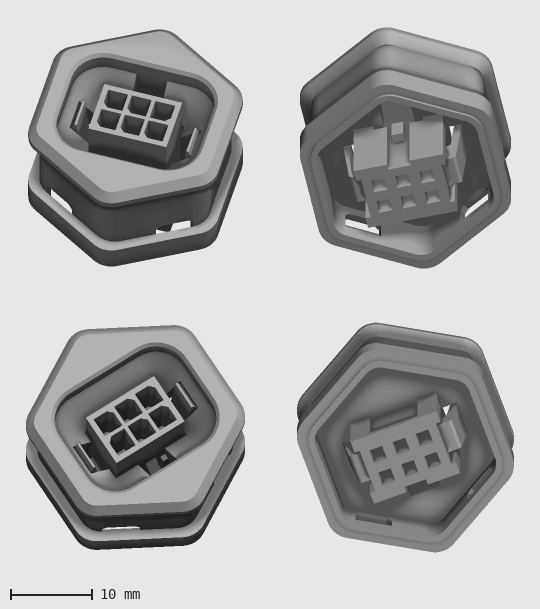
import cadquery as cq
import math


FLANGE_WIDTH = 24.0
CORNER_RADIUS = 3.0
FLANGE_TOP_CHAMFER = 1.0
FLANGE_BAND = 0.8
FLANGE_UNDERCUT = 1.2
FLANGE_HEIGHT = FLANGE_TOP_CHAMFER + FLANGE_BAND + FLANGE_UNDERCUT
BODY_WIDTH = FLANGE_WIDTH - 2 * FLANGE_UNDERCUT
BODY_DEPTH = 14.8
WALL = 0.8
CAVITY_TOP = 8.03

RECESS_X = 18.0
RECESS_Y = 14.2
RECESS_RADIUS = 4.02
RECESS_CHAMFER = 0.4
RECESS_DEPTH = 2.4
FUNNEL_DEPTH = 3.96

OPENING_X = 10.28
OPENING_BACK = 3.6
OPENING_FRONT = 3.5
ARM_SLOT_WIDTH = 4.1
ARM_SLOT_REACH = 7.8
ARM_SLOT_FOOT_REACH = 7.45
KEY_SLOT_WIDTH = 3.9

WINDOW_WIDTH = 4.69
WINDOW_TOP = 9.53
WINDOW_BOTTOM = 12.7
WINDOW_CHAMFER = 0.6
WINDOW_SHIFT = 2.3

NUT_TOP = 11.0
NUT_BOTTOM = 14.4

CONNECTOR_TOP = 0.75
CONNECTOR_OFFSET = -0.05
CONNECTOR_BOTTOM = 17.7
PLUG_X = 9.9
PLUG_Y = 6.9
BASE_X = 11.2
BASE_Y = 8.3
SIDE_CHANNEL_WIDTH = 5.4
PANEL_WIDTH = 6.2
PANEL_DEPTH = 0.4
PANEL_BOTTOM = 16.63
NOTCH_DEPTH = 0.8
KEY_CHANNEL_WIDTH = 2.8
KEY_WIDTH = 1.42
KEY_REACH = 4.8
KEY_TOP = 8.03
KEY_BOTTOM = 12.05

PITCH = 3.0
COLUMNS = 3
ROWS = 2
CHAMBER = 2.55
CHAMBER_CORNER = 0.62
CHAMBER_BOTTOM = 8.85
CONTACT_HOLE = 1.7

ARM_WIDTH = 3.65
ARM_TIP_TOP = 3.1
ARM_TIP_INNER = 6.95
ARM_TIP_OUTER = 7.28
ARM_TIP_RADIUS = 0.2
ARM_SHOULDER = 4.42
ARM_SHOULDER_OUTER = 7.75
ARM_ROOT_OUTER = 6.7
ARM_ROOT_INNER = 6.05
GROOVE_END = 11.52
ARM_CORNER_TOP = 14.62
ARM_CORNER = 0.48
ARM_BOTTOM = 15.1
ROOT_FILLET = 0.4


def hexagon_prism(width, radius, top, bottom):
    """Hexagonal prism with rounded corners, two of them on the Y axis."""
    diameter = width / math.cos(math.radians(30))
    return (
        cq.Workplane("XY", origin=(0, 0, -bottom))
        .transformed(rotate=(0, 0, 30))
        .polygon(6, diameter)
        .extrude(bottom - top)
        .edges("|Z")
        .fillet(radius)
    )


def block(x_size, y_size, top, bottom, x=0, y=0):
    """Box between two heights, centred on (x, y)."""
    return (
        cq.Workplane("XY", origin=(x, y, -bottom))
        .rect(x_size, y_size)
        .extrude(bottom - top)
    )


def housing_shell():
    flange = (
        hexagon_prism(FLANGE_WIDTH, CORNER_RADIUS, 0, FLANGE_HEIGHT)
        .faces(">Z").chamfer(FLANGE_TOP_CHAMFER)
        .faces("<Z").chamfer(FLANGE_UNDERCUT)
    )
    body = hexagon_prism(BODY_WIDTH, CORNER_RADIUS, FLANGE_HEIGHT, BODY_DEPTH)
    cavity = hexagon_prism(BODY_WIDTH - 2 * WALL, CORNER_RADIUS - WALL, CAVITY_TOP, BODY_DEPTH)
    return flange.union(body).cut(cavity)


def rounded_pocket(x_size, y_size, radius, top, depth, taper=0):
    """Pocket with rounded corners, narrowing downwards by the taper angle."""
    outline = cq.Sketch().rect(x_size, y_size).vertices().fillet(radius)
    return cq.Workplane("XY", origin=(0, 0, -top)).placeSketch(outline).extrude(-depth, taper=taper)


def funnel_recess():
    rim = rounded_pocket(
        RECESS_X + 2 * RECESS_CHAMFER,
        RECESS_Y + 2 * RECESS_CHAMFER,
        RECESS_RADIUS + RECESS_CHAMFER,
        0,
        RECESS_CHAMFER,
        taper=45,
    )
    wall = rounded_pocket(RECESS_X, RECESS_Y, RECESS_RADIUS, 0, RECESS_DEPTH)
    funnel = rounded_pocket(RECESS_X, RECESS_Y, RECESS_RADIUS, RECESS_DEPTH, FUNNEL_DEPTH, taper=45)
    return rim.union(wall).union(funnel)


def floor_opening():
    opening_y = OPENING_BACK + OPENING_FRONT
    opening = block(OPENING_X, opening_y, 0, CAVITY_TOP, y=(OPENING_BACK - OPENING_FRONT) / 2)
    key_slot_end = RECESS_Y / 2
    key_slot = block(KEY_SLOT_WIDTH, key_slot_end, RECESS_DEPTH, CAVITY_TOP, y=key_slot_end / 2)
    arm_slots = (
        cq.Workplane("XZ")
        .moveTo(-ARM_SLOT_REACH, -RECESS_DEPTH)
        .lineTo(ARM_SLOT_REACH, -RECESS_DEPTH)
        .lineTo(ARM_SLOT_REACH, -ARM_SHOULDER)
        .lineTo(ARM_SLOT_FOOT_REACH, -CAVITY_TOP)
        .lineTo(-ARM_SLOT_FOOT_REACH, -CAVITY_TOP)
        .lineTo(-ARM_SLOT_REACH, -ARM_SHOULDER)
        .close()
        .extrude(ARM_SLOT_WIDTH / 2, both=True)
    )
    return opening.union(key_slot).union(arm_slots)


def wall_window():
    """Cutter for the window in the -X -Y wall."""
    window = (
        block(WINDOW_WIDTH, 2 * WALL, WINDOW_TOP, WINDOW_BOTTOM, x=-WINDOW_SHIFT, y=-BODY_WIDTH / 2)
        .edges("|Y and >Z")
        .chamfer(WINDOW_CHAMFER)
    )
    return window.rotate((0, 0, 0), (0, 0, 1), -30)


def make_housing():
    housing = housing_shell().cut(funnel_recess()).cut(floor_opening())
    left_window = wall_window()
    for window in (left_window, left_window.mirror("YZ")):
        housing = housing.cut(window).cut(window.mirror("XZ"))
    return housing


def make_nut():
    bore = hexagon_prism(BODY_WIDTH, CORNER_RADIUS, NUT_TOP, NUT_BOTTOM)
    return hexagon_prism(FLANGE_WIDTH, CORNER_RADIUS, NUT_TOP, NUT_BOTTOM).cut(bore)


def connector_base():
    """Wide lower part of the connector, bearing against the underside of the housing floor."""
    base = block(BASE_X, BASE_Y, CAVITY_TOP, CONNECTOR_BOTTOM)
    panel = block(PANEL_WIDTH, 2 * PANEL_DEPTH, CAVITY_TOP, PANEL_BOTTOM, y=-BASE_Y / 2)
    notch = block(PANEL_WIDTH, BASE_Y / 2, CAVITY_TOP, CAVITY_TOP + NOTCH_DEPTH, y=BASE_Y / 2)
    key_channel = block(KEY_CHANNEL_WIDTH, BASE_Y - PLUG_Y, CAVITY_TOP, CONNECTOR_BOTTOM, y=BASE_Y / 2)
    side_channel = block(BASE_X - PLUG_X, SIDE_CHANNEL_WIDTH, CAVITY_TOP, CONNECTOR_BOTTOM, x=BASE_X / 2)
    return (
        base.cut(panel)
        .cut(notch)
        .cut(key_channel)
        .cut(side_channel)
        .cut(side_channel.mirror("YZ"))
    )


def connector_key():
    """Rib on the back of the plug with a 45 degree ramp on top."""
    plug_back = PLUG_Y / 2
    return (
        cq.Workplane("YZ")
        .moveTo(plug_back, -KEY_TOP)
        .lineTo(KEY_REACH, -KEY_TOP - (KEY_REACH - plug_back))
        .lineTo(KEY_REACH, -KEY_BOTTOM)
        .lineTo(plug_back, -KEY_BOTTOM)
        .close()
        .extrude(KEY_WIDTH / 2, both=True)
    )


def latch_arm():
    """Springy arm on the +X side: joined to the plug at its foot, leaning outwards to its tip."""
    plug_side = PLUG_X / 2
    groove_radius = (ARM_ROOT_INNER - plug_side) / 2
    return (
        cq.Workplane("XZ")
        .moveTo(plug_side, -GROOVE_END)
        .threePointArc(
            (plug_side + groove_radius, -GROOVE_END - groove_radius),
            (ARM_ROOT_INNER, -GROOVE_END),
        )
        .lineTo(ARM_TIP_INNER, -ARM_TIP_TOP)
        .radiusArc((ARM_TIP_OUTER, -ARM_TIP_TOP), ARM_TIP_RADIUS)
        .lineTo(ARM_SHOULDER_OUTER, -ARM_SHOULDER)
        .lineTo(ARM_ROOT_OUTER, -ARM_CORNER_TOP)
        .radiusArc((ARM_ROOT_OUTER - ARM_CORNER, -ARM_BOTTOM), ARM_CORNER)
        .lineTo(plug_side + ROOT_FILLET, -ARM_BOTTOM)
        .radiusArc((plug_side, -ARM_BOTTOM - ROOT_FILLET), -ROOT_FILLET)
        .close()
        .extrude(ARM_WIDTH / 2, both=True)
    )


def contact_chambers():
    """Stepped chambers; one lower corner is cut off, the right one in the back right chamber."""
    plain = block(CHAMBER, CHAMBER, CONNECTOR_TOP, CHAMBER_BOTTOM)
    hole = block(CONTACT_HOLE, CONTACT_HOLE, CONNECTOR_TOP, CONNECTOR_BOTTOM)
    left_cut = plain.edges("|Z and <Y and <X").chamfer(CHAMBER_CORNER).union(hole)
    right_cut = left_cut.mirror("YZ")
    chambers = cq.Workplane("XY")
    for column in range(COLUMNS):
        for row in range(ROWS):
            x = (column - (COLUMNS - 1) / 2) * PITCH
            y = (row - (ROWS - 1) / 2) * PITCH
            is_back_right = column == COLUMNS - 1 and row == ROWS - 1
            chamber = right_cut if is_back_right else left_cut
            chambers = chambers.add(chamber.translate((x, y, 0)))
    return chambers.combine()


def make_connector():
    arm = latch_arm()
    return (
        block(PLUG_X, PLUG_Y, CONNECTOR_TOP, CONNECTOR_BOTTOM)
        .union(connector_base())
        .union(connector_key())
        .union(arm)
        .union(arm.mirror("YZ"))
        .cut(contact_chambers())
        .translate((0, CONNECTOR_OFFSET, 0))
    )


housing = make_housing()
nut = make_nut()
connector = make_connector()

bodies = [body.solids().val() for body in (housing, nut, connector)]
result = cq.Compound.makeCompound(bodies)